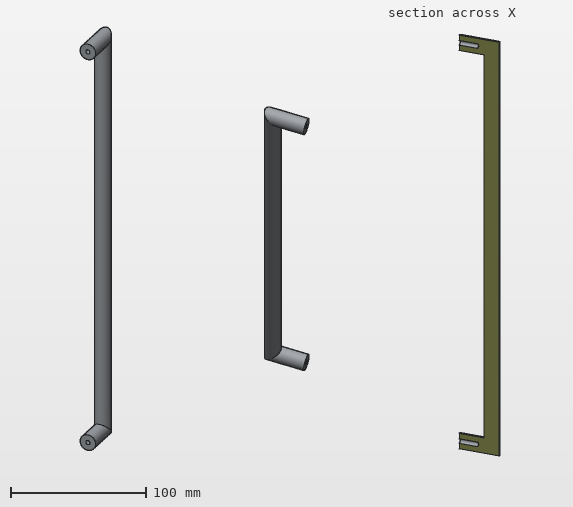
import cadquery as cq
import math

bar_diameter = 12.7
hole_spacing = 320.0
projection = 32.7
hole_diameter = 3.3
hole_depth = 15.0
drill_point_angle = 118.0

bar_radius = bar_diameter / 2
grip_centre_y = projection - bar_radius
hole_radius = hole_diameter / 2
drill_point_length = hole_radius / math.tan(math.radians(drill_point_angle / 2))
leg_heights = (-hole_spacing / 2, hole_spacing / 2)


def make_mitred_handle():
    """U-shaped round bar with sharp 45-degree mitred corners."""
    bottom, top = leg_heights
    path = (
        cq.Workplane("YZ")
        .moveTo(0, bottom)
        .lineTo(grip_centre_y, bottom)
        .lineTo(grip_centre_y, top)
        .lineTo(0, top)
    )
    section = cq.Workplane("XZ", origin=(0, 0, bottom)).circle(bar_radius)
    return section.sweep(path, transition="right")


def make_drilled_hole(height):
    """Volume of a blind hole with a conical bottom, running toward +Y from the mounting face."""
    outline = (
        cq.Workplane("XY", origin=(0, 0, height))
        .lineTo(hole_radius, 0)
        .lineTo(hole_radius, hole_depth)
        .lineTo(0, hole_depth + drill_point_length)
        .close()
    )
    return outline.revolve(360, (0, 0), (0, 1))


def drill_mounting_holes(handle):
    """Blind fixing hole in the end of each leg."""
    for height in leg_heights:
        handle = handle.cut(make_drilled_hole(height))
    return handle


result = drill_mounting_holes(make_mitred_handle())